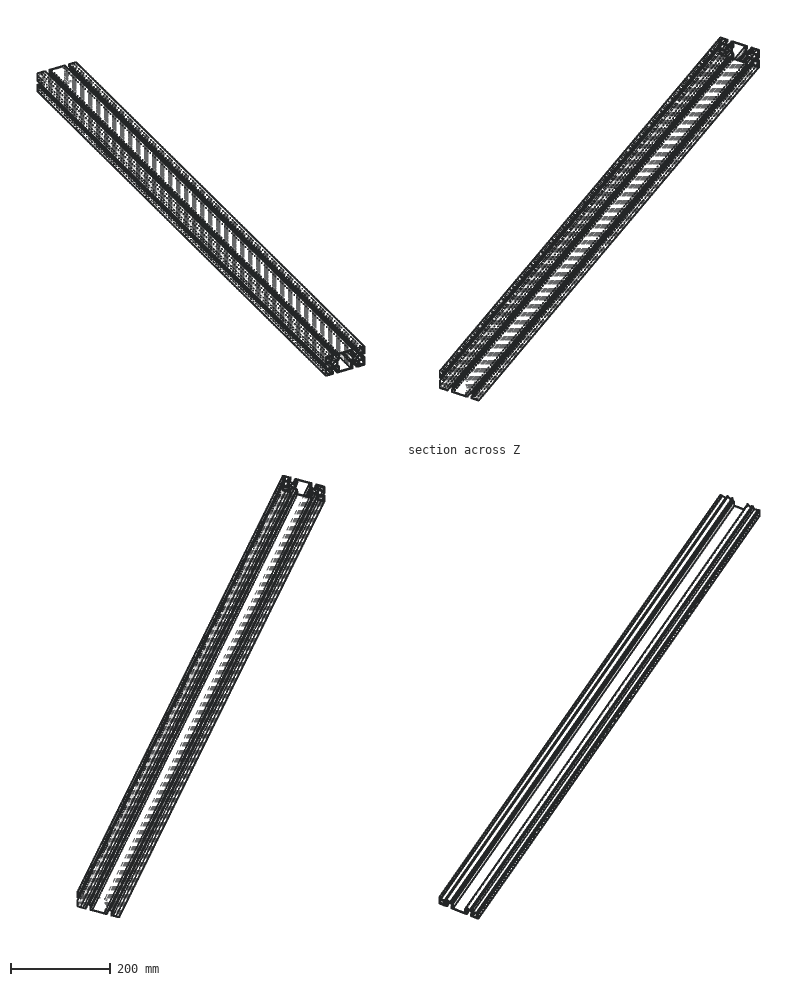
import cadquery as cq

length = 1219.0
width = 90.0
height = 45.0
corner_radius = 2.9

cell_half = height / 2
cell_centre = width / 2 - cell_half

opening_half = 4.6
undercut_half = 6.5
floor_half = 2.0
lip_depth = 4.5
taper_depth = 12.4
core_half = 7.0

skin = 2.1
slot_wall_offset = 9.6
wall_bend_depth = 8.4
elbow_offset = 9.0
elbow_depth = cell_half - elbow_offset
core_web_offset = 6.0
core_web_depth = 17.0

corner_chamfer = 5.0
core_bore_diameter = 9.0

x_axis = ((0, 0, 0), (1, 0, 0))


def extrude_section(points):
    """Extrude a closed outline, given as (y, z) points, over the whole length."""
    return cq.Workplane("YZ").polyline(points).close().extrude(length / 2, both=True)


def mirrored_in_y(points):
    """Close a right-hand half outline with its mirror image across Y = 0."""
    return points + [(-y, z) for y, z in reversed(points)]


def slot():
    """Undercut slot opening toward +Z in a cell centred on the X axis."""
    right_side = [
        (opening_half, cell_half),
        (opening_half, cell_half - lip_depth),
        (undercut_half, cell_half - lip_depth),
        (undercut_half, cell_half - taper_depth),
        (floor_half, core_half),
    ]
    return extrude_section(mirrored_in_y(right_side))


def corner_hollow():
    """Hollow in the +Y +Z corner of a cell centred on the X axis."""
    outer = cell_half - skin
    bend = cell_half - wall_bend_depth
    return extrude_section(
        [
            (slot_wall_offset, outer),
            (outer - corner_chamfer, outer),
            (outer, outer - corner_chamfer),
            (outer, slot_wall_offset),
            (bend, slot_wall_offset),
            (elbow_offset, elbow_offset),
            (slot_wall_offset, bend),
        ]
    )


def core_bore():
    """Round hole along the middle of a cell centred on the X axis."""
    return cq.Workplane("YZ").circle(core_bore_diameter / 2).extrude(length / 2, both=True)


def centre_hollow():
    """Large hollow between the two cores; its sides follow the slot walls."""
    upper_right = [
        (cell_centre - slot_wall_offset, cell_half - skin),
        (cell_centre - slot_wall_offset, cell_half - wall_bend_depth),
        (cell_centre - elbow_offset, cell_half - elbow_depth),
        (cell_centre - core_web_offset, cell_half - core_web_depth),
    ]
    lower_right = [(y, -z) for y, z in reversed(upper_right)]
    return extrude_section(mirrored_in_y(upper_right + lower_right))


beam = cq.Workplane("XY").box(length, width, height)
beam = beam.edges("|X").fillet(corner_radius).cut(centre_hollow())

cell_cutters = [core_bore()]
cell_cutters += [slot().rotate(*x_axis, angle) for angle in (0, -90, 180)]
cell_cutters += [corner_hollow().rotate(*x_axis, angle) for angle in (0, -90)]

for turn in (0, 180):
    for cutter in cell_cutters:
        beam = beam.cut(cutter.translate((0, cell_centre, 0)).rotate(*x_axis, turn))

result = beam.solids()